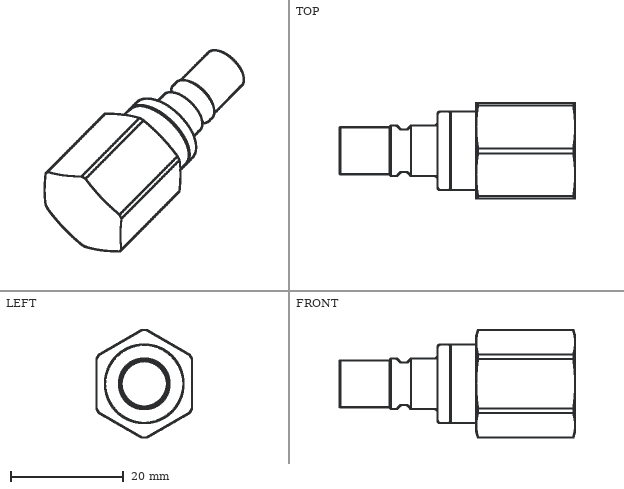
import cadquery as cq
import math

total_length = 41.9
shank_end = 8.92
collar_start = 9.2
collar_edge = 10.1
groove_floor_start = 11.1
groove_floor_end = 11.85
neck_start = 12.7
body_start = 17.45
ring_groove_start = 19.65
hex_start = 24.3

shank_diameter = 8.4
neck_diameter = 9.0
seal_groove_diameter = 7.6
body_diameter = 14.0
ring_groove_diameter = 13.75

tip_chamfer = 0.15
collar_round_length = 0.25
floor_round_length = 0.38
neck_fillet = 0.5
body_round = 0.5
ring_groove_width = 0.15

across_flats = 17.0
across_corners = 19.15
nut_face_diameter = 16.9
nut_chamfer_length = 0.35

shank_radius = shank_diameter / 2
neck_radius = neck_diameter / 2
floor_radius = seal_groove_diameter / 2
body_radius = body_diameter / 2
ring_groove_radius = ring_groove_diameter / 2

full_drop = math.tan(math.radians(22.5))
half_run = math.sin(math.radians(22.5)) / math.sin(math.radians(45))
half_drop = (1 - math.cos(math.radians(22.5))) / math.sin(math.radians(45))
fillet_middle = 1 - math.sqrt(0.5)


def make_stem():
    """Revolve the stepped stem, with its seal groove and thin ring groove, about X."""
    floor_round_top = floor_radius + floor_round_length * full_drop
    profile = (
        cq.Workplane("XY")
        .lineTo(0, shank_radius - tip_chamfer)
        .lineTo(tip_chamfer, shank_radius)
        .lineTo(shank_end, shank_radius)
        .lineTo(collar_start, neck_radius)
        .lineTo(collar_edge, neck_radius)
        .threePointArc(
            (collar_edge + collar_round_length * half_run, neck_radius - collar_round_length * half_drop),
            (collar_edge + collar_round_length, neck_radius - collar_round_length * full_drop),
        )
        .lineTo(groove_floor_start - floor_round_length, floor_round_top)
        .threePointArc(
            (groove_floor_start - floor_round_length * half_run, floor_radius + floor_round_length * half_drop),
            (groove_floor_start, floor_radius),
        )
        .lineTo(groove_floor_end, floor_radius)
        .threePointArc(
            (groove_floor_end + floor_round_length * half_run, floor_radius + floor_round_length * half_drop),
            (groove_floor_end + floor_round_length, floor_round_top),
        )
        .lineTo(neck_start, neck_radius)
        .lineTo(body_start - neck_fillet, neck_radius)
        .threePointArc(
            (body_start - neck_fillet * fillet_middle, neck_radius + neck_fillet * fillet_middle),
            (body_start, neck_radius + neck_fillet),
        )
        .lineTo(body_start, body_radius - body_round)
        .threePointArc(
            (body_start + body_round * fillet_middle, body_radius - body_round * fillet_middle),
            (body_start + body_round, body_radius),
        )
        .lineTo(ring_groove_start, body_radius)
        .lineTo(ring_groove_start, ring_groove_radius)
        .lineTo(ring_groove_start + ring_groove_width, ring_groove_radius)
        .lineTo(ring_groove_start + ring_groove_width, body_radius)
        .lineTo(hex_start, body_radius)
        .lineTo(hex_start, 0)
        .close()
    )
    return profile.revolve(360, (0, 0, 0), (1, 0, 0))


def make_nut():
    """Make the hexagon with turned corners and conical chamfers at both ends."""
    hexagon = (
        cq.Workplane("YZ", origin=(hex_start, 0, 0))
        .polygon(6, across_flats, circumscribed=True)
        .extrude(total_length - hex_start)
    )
    face_radius = nut_face_diameter / 2
    corner_radius = across_corners / 2
    turned_envelope = (
        cq.Workplane("XY")
        .moveTo(hex_start, 0)
        .lineTo(hex_start, face_radius)
        .lineTo(hex_start + nut_chamfer_length, corner_radius)
        .lineTo(total_length - nut_chamfer_length, corner_radius)
        .lineTo(total_length, face_radius)
        .lineTo(total_length, 0)
        .close()
        .revolve(360, (0, 0, 0), (1, 0, 0))
    )
    return hexagon.intersect(turned_envelope)


result = make_stem().union(make_nut())